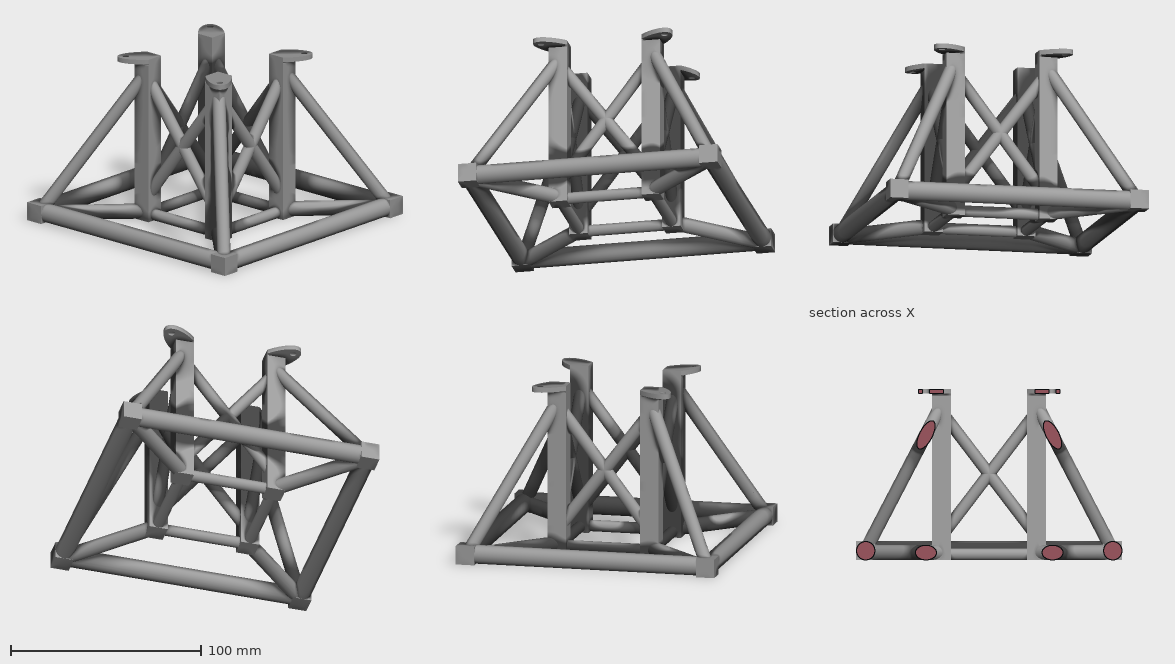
import cadquery as cq
import math

frame_width = 140.0
bar_size = 10.0
cube_offset = (frame_width - bar_size) / 2
cube_middle = bar_size / 2

post_offset = 25.0
post_height = 90.0

tie_diameter = 8.0
strut_diameter = 7.0
strut_top = 81.8
rail_diameter = 6.0
brace_diameter = 6.5
brace_low = 12.5
brace_high = 78.1

tab_thickness = 2.5
tab_length = 16.0
tab_half_width = bar_size / math.sqrt(2)
tab_relief = 1.0
tab_bottom = post_height - tab_thickness
hole_diameter = 3.5
hole_from_post_axis = 11.6

corner_count = 4
corner_angle = 360 / corner_count
outward_angle = 225


def rod(start, end, diameter):
    """Round rod between the centres of its two ends."""
    base = cq.Vector(*start)
    axis = cq.Vector(*end) - base
    return cq.Workplane(obj=cq.Solid.makeCylinder(diameter / 2, axis.Length, base, axis))


def frame_corner(height):
    """Point above the centre of the cube at -X, -Y."""
    return (-cube_offset, -cube_offset, height)


def on_post(side, height):
    """Point on the axis of a front post: side -1 is at -X, side 1 at +X."""
    return (side * post_offset, -post_offset, height)


def make_post():
    """Post with its outer half cut away along the diagonal to make room for the tab."""
    half = bar_size / 2
    post = cq.Workplane().rect(bar_size, bar_size).extrude(post_height)
    relief = (
        cq.Workplane()
        .workplane(offset=tab_bottom - tab_relief)
        .polyline([(-half, half), (-half, -half), (half, -half)])
        .close()
        .extrude(tab_thickness + tab_relief)
    )
    return post.cut(relief)


def make_tab():
    """Half-elliptical tab, as wide as the post's diagonal."""
    return (
        cq.Workplane()
        .workplane(offset=tab_bottom)
        .moveTo(0, -tab_half_width)
        .ellipseArc(tab_length, tab_half_width, -90, 90, startAtCurrent=True)
        .close()
        .extrude(tab_thickness)
        .rotate((0, 0, 0), (0, 0, 1), outward_angle)
    )


def make_tab_hole():
    """Cutter for the hole through the tab."""
    return (
        cq.Workplane()
        .workplane(offset=tab_bottom)
        .center(hole_from_post_axis, 0)
        .circle(hole_diameter / 2)
        .extrude(tab_thickness)
        .rotate((0, 0, 0), (0, 0, 1), outward_angle)
    )


def make_corner():
    """Cube, post with tab, and the tie and strut that join them."""
    cube = cq.Workplane().box(bar_size, bar_size, bar_size).translate(frame_corner(cube_middle))
    tie_height = tie_diameter / 2
    tie = rod(frame_corner(tie_height), on_post(-1, tie_height), tie_diameter)
    strut = rod(frame_corner(cube_middle), on_post(-1, strut_top), strut_diameter)
    post = make_post().union(make_tab()).cut(make_tab_hole())
    return cube.union(tie).union(strut).union(post.translate(on_post(-1, 0)))


def make_side():
    """Frame rod, and the rail and crossed braces between two posts."""
    frame_rod = rod(frame_corner(cube_middle), (cube_offset, -cube_offset, cube_middle), bar_size)
    rail_height = rail_diameter / 2
    rail = rod(on_post(-1, rail_height), on_post(1, rail_height), rail_diameter)
    rising_brace = rod(on_post(-1, brace_low), on_post(1, brace_high), brace_diameter)
    falling_brace = rod(on_post(-1, brace_high), on_post(1, brace_low), brace_diameter)
    return frame_rod.union(rail).union(rising_brace).union(falling_brace)


quarter = make_corner().union(make_side())
stand = quarter
for turn in range(1, corner_count):
    stand = stand.union(quarter.rotate((0, 0, 0), (0, 0, 1), turn * corner_angle))
result = stand.solids()